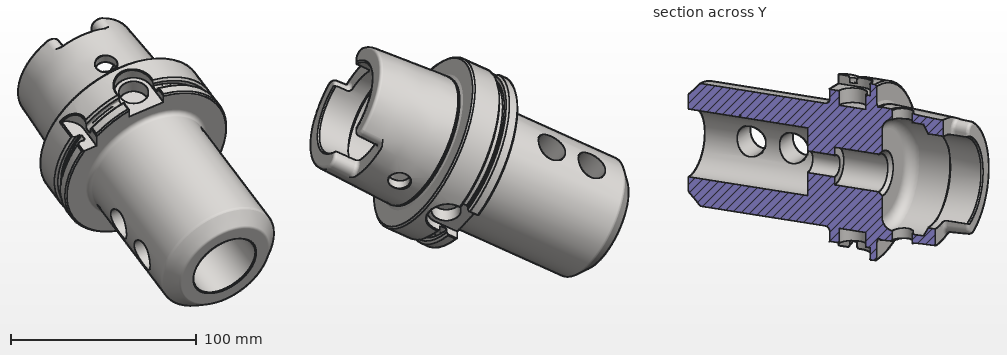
import cadquery as cq
import math


length = 164.3
flange_start = 50.1
flange_end = 78.9
flange_diameter = 100.0
flange_front_bevel = 1.0
flange_rear_bevel = 0.8
taper_diameter = 75.7
taper_end = 48.0
taper_ratio = 10.0
nose_round = 1.6
body_diameter = 69.8
body_root_radius = 2.6
body_bevel = 7.4
body_bevel_round = 2.0

relief_floor_start = 48.5
relief_floor_end = 49.5
relief_diameter = 75.0
relief_mouth_diameter = 79.2

groove_center = 69.8
groove_width = 4.3
groove_mouth_width = 6.5
groove_mouth_depth = 1.5
groove_floor_diameter = 92.0
groove_floor_round = 0.7

cavity_mouth_diameter = 53.0
cavity_mouth_bevel = 0.8
cavity_lip_length = 19.2
cavity_diameter = 63.0
cavity_depth = 46.8
cavity_floor_radius = 6.5
cavity_shoulder_angle = 60.0

tube_seat_diameter = 21.0
tube_seat_mouth_diameter = 25.3
tube_seat_end = 75.5
passage_diameter = 12.0

tool_bore_diameter = 38.1
tool_bore_mouth_diameter = 39.1
tool_bore_bevel = (tool_bore_mouth_diameter - tool_bore_diameter) / 2
tool_bore_depth = 72.3
screw_diameter = 17.3
screw_positions = (110.0, 135.7)

keyway_half_width = 10.0
keyway_corner_radius = 5.0
keyway_bottom_height = 16.5
keyway_floor_fillet = 2.0
keyways = ((1, 9.9), (-1, 14.8))

cross_hole_x = 34.8
cross_hole_diameter = 12.0
cross_hole_mouth_diameter = 13.0

slot_width = 21.0
slot_center_x = 64.9
slot_floor_height = 43.2
slot_edge_bevel = 0.5
slot_hole_diameter = 16.0
slot_hole_depth = 8.2
notch_wall_offset = 30.9

margin = 1.6

pick_width = 0.3
corner_pick_height = 18.0
floor_pick_height = 10.7


def cylinder(diameter, start, end):
    """Cylinder on the part axis between two x positions."""
    return cq.Workplane("YZ", origin=(start, 0, 0)).circle(diameter / 2).extrude(end - start)


def cone(start_diameter, end_diameter, start):
    """45 degree cone on the part axis, opening or closing from start."""
    height = abs(end_diameter - start_diameter) / 2
    solid = cq.Solid.makeCone(
        start_diameter / 2, end_diameter / 2, height, cq.Vector(start, 0, 0), cq.Vector(1, 0, 0)
    )
    return cq.Workplane(obj=solid)


def revolve_about_axis(profile):
    return profile.close().revolve(360, (0, 0, 0), (1, 0, 0))


def box_selector(center, size):
    """Select what has its center inside a box."""
    low = [c - d / 2 for c, d in zip(center, size)]
    high = [c + d / 2 for c, d in zip(center, size)]
    return cq.selectors.BoxSelector(low, high)


def make_taper():
    taper_radius = taper_diameter / 2
    nose_radius = taper_radius - taper_end / taper_ratio / 2
    taper = revolve_about_axis(
        cq.Workplane("XY")
        .lineTo(0, nose_radius)
        .lineTo(taper_end, taper_radius)
        .lineTo(relief_floor_start, relief_diameter / 2)
        .lineTo(relief_floor_end, relief_diameter / 2)
        .lineTo(flange_start, relief_mouth_diameter / 2)
        .lineTo(flange_start, 0)
    )
    return cut_keyways(taper)


def cut_keyways(taper):
    """Cut the two drive keyways, then round the nose arms that are left between them."""
    for side, depth in keyways:
        keyway = cq.Workplane("XY", origin=(0, 0, side * keyway_bottom_height))
        keyway = keyway.rect(2 * depth, 2 * keyway_half_width).extrude(side * taper_diameter)
        taper = taper.cut(keyway)

    corner_edges = []
    for side, depth in keyways:
        for wall in (keyway_half_width, -keyway_half_width):
            center = (depth / 2, wall, side * taper_diameter / 2)
            size = (pick_width, pick_width, corner_pick_height)
            corner_edges += taper.edges(box_selector(center, size)).vals()
    arms = taper.newObject(corner_edges).fillet(keyway_corner_radius)

    floor_edges = []
    for side, depth in keyways:
        center = (depth, 0, side * cavity_mouth_diameter / 2)
        size = (pick_width, taper_diameter / 2, floor_pick_height)
        edges = arms.edges(box_selector(center, size)).edges("not |Y")
        floor_edges += edges.vals()
    arms = arms.newObject(floor_edges).fillet(keyway_floor_fillet)

    return arms.faces("<X").edges("not |Y").fillet(nose_round)


def make_flange():
    blank = cylinder(flange_diameter, flange_start, flange_end)
    beveled_blank = blank.faces("<X").edges().chamfer(flange_front_bevel)
    beveled_blank = beveled_blank.faces(">X").edges().chamfer(flange_rear_bevel)

    flange = blank
    for cutter in (make_slot_cutter(1), make_slot_cutter(-1), make_notch_cutter()):
        flange = flange.cut(cutter)

    away_from_seam = box_selector(
        ((flange_start + flange_end) / 2, -flange_diameter / 4, 0),
        (flange_end - flange_start, flange_diameter, flange_diameter),
    )
    rim = flange.faces("%CYLINDER").faces(cq.selectors.AreaNthSelector(-1))
    flange = rim.edges("not %CIRCLE").edges(away_from_seam).chamfer(slot_edge_bevel)

    flange = flange.intersect(beveled_blank).cut(make_gripper_groove())
    for side in (1, -1):
        floor = cq.Workplane("XY", origin=(slot_center_x, 0, side * slot_floor_height))
        flange = flange.cut(floor.circle(slot_hole_diameter / 2).extrude(-side * slot_hole_depth))
    return flange


def make_slot_cutter(side):
    """Round-ended slot open to the rear of the flange, on the +Z or -Z side."""
    round_end = cq.Workplane("XY").center(slot_center_x, 0).circle(slot_width / 2)
    run = flange_end + margin - slot_center_x
    height = flange_diameter / 2 + margin - slot_floor_height
    cutter = round_end.extrude(height).union(
        cq.Workplane("XY").box(run, slot_width, height, centered=(False, True, False))
        .translate((slot_center_x, 0, 0))
    )
    cutter = cutter.translate((0, 0, slot_floor_height))
    return cutter if side > 0 else cutter.mirror("XY")


def make_notch_cutter():
    """Square notch at the -Y +Z corner of the flange, its front end rounded about a Z axis."""
    radius = slot_width / 2
    reach = flange_diameter / 2
    return (
        cq.Workplane("XY", origin=(0, 0, notch_wall_offset))
        .moveTo(flange_end + margin, -notch_wall_offset)
        .lineTo(slot_center_x, -notch_wall_offset)
        .radiusArc((slot_center_x - radius, -notch_wall_offset - radius), -radius)
        .lineTo(slot_center_x - radius, -reach)
        .lineTo(flange_end + margin, -reach)
        .close()
        .extrude(reach)
    )


def make_gripper_groove():
    flange_radius = flange_diameter / 2
    floor = groove_floor_diameter / 2
    half = groove_width / 2
    mouth_half = groove_mouth_width / 2
    ring = revolve_about_axis(
        cq.Workplane("XY")
        .moveTo(groove_center - half, floor)
        .lineTo(groove_center + half, floor)
        .lineTo(groove_center + half, flange_radius - groove_mouth_depth)
        .lineTo(groove_center + mouth_half, flange_radius)
        .lineTo(groove_center + mouth_half, flange_radius + margin)
        .lineTo(groove_center - mouth_half, flange_radius + margin)
        .lineTo(groove_center - mouth_half, flange_radius)
        .lineTo(groove_center - half, flange_radius - groove_mouth_depth)
    )
    floor_edges = cq.selectors.RadiusNthSelector(0)
    return ring.edges("%CIRCLE").edges(floor_edges).fillet(groove_floor_round)


def make_body():
    body = cylinder(body_diameter, flange_end, length)
    body = body.faces(">X").edges().chamfer(body_bevel)
    body = body.edges("(not <X) and %CIRCLE").fillet(body_bevel_round)
    radius = body_diameter / 2
    root = revolve_about_axis(
        cq.Workplane("XY")
        .moveTo(flange_end, 0)
        .lineTo(flange_end, radius + body_root_radius)
        .radiusArc((flange_end + body_root_radius, radius), -body_root_radius)
        .lineTo(flange_end + body_root_radius, 0)
    )
    return body.union(root)


def make_cavity():
    mouth_radius = cavity_mouth_diameter / 2
    radius = cavity_diameter / 2
    shoulder_length = (radius - mouth_radius) / math.tan(math.radians(cavity_shoulder_angle))
    return revolve_about_axis(
        cq.Workplane("XY")
        .lineTo(0, mouth_radius + cavity_mouth_bevel)
        .lineTo(cavity_mouth_bevel, mouth_radius)
        .lineTo(cavity_lip_length, mouth_radius)
        .lineTo(cavity_lip_length + shoulder_length, radius)
        .lineTo(cavity_depth - cavity_floor_radius, radius)
        .radiusArc((cavity_depth, radius - cavity_floor_radius), cavity_floor_radius)
        .lineTo(cavity_depth, 0)
    )


def cut_cross_hole(part):
    reach = taper_diameter / 2
    mouth_radius = cross_hole_mouth_diameter / 2
    taper_radius = reach - (taper_end - cross_hole_x) / taper_ratio / 2
    for side in (1, -1):
        outward = cq.Vector(0, 0, side)
        hole = cq.Solid.makeCylinder(
            cross_hole_diameter / 2, reach, cq.Vector(cross_hole_x, 0, 0), outward
        )
        mouth = cq.Solid.makeCone(
            0, mouth_radius, mouth_radius, outward * (taper_radius - mouth_radius), outward
        ).translate(cq.Vector(cross_hole_x, 0, 0))
        part = part.cut(cq.Workplane(obj=hole)).cut(cq.Workplane(obj=mouth))
    return part


def cut_screw_holes(part):
    for x in screw_positions:
        hole = cq.Workplane("XZ", origin=(x, 0, 0)).circle(screw_diameter / 2).extrude(body_diameter)
        part = part.cut(hole)
    return part


result = make_taper().union(make_flange()).union(make_body())

result = result.cut(make_cavity())
result = cut_cross_hole(result)

result = result.cut(cone(tube_seat_mouth_diameter, tube_seat_diameter, cavity_depth))
result = result.cut(cylinder(tube_seat_diameter, cavity_depth, tube_seat_end))
result = result.cut(cylinder(passage_diameter, tube_seat_end, length))

result = result.cut(cylinder(tool_bore_diameter, length - tool_bore_depth, length))
result = result.cut(cone(tool_bore_diameter, tool_bore_mouth_diameter, length - tool_bore_bevel))
result = cut_screw_holes(result)